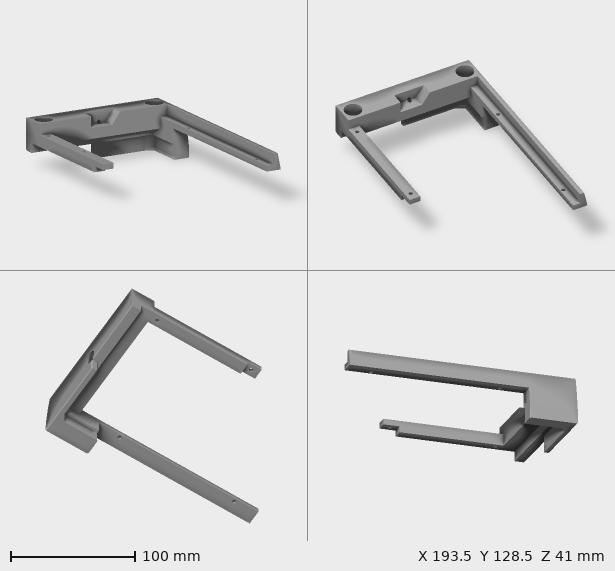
import cadquery as cq
import math

length = 193.5
width = 128.5
height = 41.0

bar_depth = 21.7
bar_floor = -19.2
front_wall = 8.9
front_wall_bottom = -27.3

cheek_length = 40.8
cheek_recess_y = 115.0
skirt_start_y = 59.4
skirt_wall = 4.8
skirt_gusset = 2.5
gusset_run = 7.7
lip_height = 2.1
lip_overhang = 0.8
lip_gusset = 4.3
edge_chamfer = 1.0

flank_top_y = 122.0
flank_mid_y = 126.1
cheek_end_chamfer = 1.2

arm_top = -9.3
arm_bottom = -14.1
front_arm_length = 124.2
front_arm_width = 9.9
thick_arm_length = 110.5
rear_arm_inner_y = 112.0
rear_rail_inner_y = 118.2

pocket_diameter = 15.0
pocket_depth = 15.5
pocket_x = 11.5
pocket_ys = (9.7, 112.2)
arm_hole_diameter = 3.5
front_arm_holes = ((27.5, 4.8), (117.2, 4.8))
rear_arm_holes = ((62.3, 114.7), (172.0, 114.7))

notch_x = 11.2
notch_y = 47.5
notch_floor_width = 19.7
notch_slope_width = 7.4
notch_depth = 10.0

screw_y = 61.1
screw_z = -21.5
screw_angle = 45
counterbore_diameter = 10.0
counterbore_depth = 7.0
screw_diameter = 4.3
screw_reach = 23.2


def box(x0, x1, y0, y1, z0, z1):
    """Box between two opposite corners."""
    return cq.Workplane("XY").box(x1 - x0, y1 - y0, z1 - z0, centered=False).translate((x0, y0, z0))


def make_crossbar():
    bar = box(0, bar_depth, 0, width, bar_floor, 0)
    wall = box(0, front_wall, 0, width, front_wall_bottom, bar_floor)
    skirt = box(0, skirt_wall, skirt_start_y, width, -height, front_wall_bottom)
    return bar.union(wall).union(skirt)


def make_gusset(leg, z0, z1):
    """Triangular filler in the corner between the skirt and the recessed cheek."""
    return (
        cq.Workplane("XY")
        .workplane(offset=z0)
        .moveTo(skirt_wall, cheek_recess_y)
        .lineTo(skirt_wall + leg, cheek_recess_y)
        .lineTo(skirt_wall, cheek_recess_y - gusset_run)
        .close()
        .extrude(z1 - z0)
    )


def make_cheek():
    """Rear cheek: full thickness above, recessed below with a sloped lip along the bottom."""
    lip_top = lip_height - height
    cheek = (
        cq.Workplane("YZ")
        .moveTo(width, arm_top)
        .lineTo(rear_arm_inner_y, arm_top)
        .lineTo(rear_arm_inner_y, front_wall_bottom)
        .lineTo(cheek_recess_y, front_wall_bottom)
        .lineTo(cheek_recess_y, lip_top)
        .lineTo(cheek_recess_y - lip_overhang, -height)
        .lineTo(width, -height)
        .close()
        .extrude(cheek_length)
    )
    rear_band = box(0, cheek_length, rear_rail_inner_y, width, arm_top, 0)
    return (
        cheek.union(rear_band)
        .edges("|Z and >X and >Y")
        .chamfer(cheek_end_chamfer)
        .union(make_gusset(skirt_gusset, lip_top, front_wall_bottom))
        .union(make_gusset(lip_gusset, -height, lip_top))
    )


def make_arms():
    front_arm = box(0, front_arm_length, 0, front_arm_width, arm_bottom, arm_top)
    front_rib = box(0, thick_arm_length, 0, front_arm_width, bar_floor, arm_top)
    rear_floor = box(0, length, rear_arm_inner_y, width, arm_bottom, arm_top)
    rear_rail = box(0, length, rear_rail_inner_y, width, arm_bottom, 0)
    return front_arm.union(front_rib).union(rear_floor).union(rear_rail)


def make_flank_envelope():
    """Volume in front of the curved rear flank, along the whole part."""
    return (
        cq.Workplane("YZ")
        .moveTo(0, 0)
        .lineTo(flank_top_y, 0)
        .threePointArc((flank_mid_y, -height / 2), (width, -height))
        .lineTo(0, -height)
        .close()
        .extrude(length)
    )


def chamfer_cutter(y0, y1, z):
    """Wedge that bevels the bottom front edge of a wall ending at height z."""
    return (
        cq.Workplane("XZ")
        .moveTo(0, z)
        .lineTo(edge_chamfer, z)
        .lineTo(0, z + edge_chamfer)
        .close()
        .extrude(y0 - y1)
        .translate((0, y0, 0))
    )


def make_skirt_end_cutter():
    """Wedge that bevels the upright front edge of the skirt."""
    return (
        cq.Workplane("XY")
        .workplane(offset=-height)
        .moveTo(0, skirt_start_y)
        .lineTo(edge_chamfer, skirt_start_y)
        .lineTo(0, skirt_start_y + edge_chamfer)
        .close()
        .extrude(height + front_wall_bottom)
    )


def make_notch():
    floor_end_y = notch_y + notch_floor_width
    return (
        cq.Workplane("YZ")
        .workplane(offset=notch_x)
        .moveTo(notch_y, 0)
        .lineTo(notch_y, -notch_depth)
        .lineTo(floor_end_y, -notch_depth)
        .lineTo(floor_end_y + notch_slope_width, 0)
        .close()
        .extrude(bar_depth - notch_x)
    )


def make_screw_hole():
    angle = math.radians(screw_angle)
    axis = cq.Vector(math.cos(angle), 0, math.sin(angle))
    mouth = cq.Vector(0, screw_y, screw_z)
    outside = mouth - axis * counterbore_diameter
    counterbore_length = counterbore_diameter + counterbore_depth
    counterbore = cq.Solid.makeCylinder(counterbore_diameter / 2, counterbore_length, outside, axis)
    shank = cq.Solid.makeCylinder(screw_diameter / 2, screw_reach, mouth, axis)
    return cq.Workplane(counterbore.fuse(shank))


def make_vertical_holes():
    pockets = (
        cq.Workplane("XY")
        .pushPoints([(pocket_x, y) for y in pocket_ys])
        .circle(pocket_diameter / 2)
        .extrude(-pocket_depth)
    )
    arm_holes = (
        cq.Workplane("XY")
        .pushPoints(front_arm_holes + rear_arm_holes)
        .circle(arm_hole_diameter / 2)
        .extrude(-height)
    )
    return pockets.union(arm_holes)


result = (
    make_crossbar()
    .union(make_cheek())
    .union(make_arms())
    .intersect(make_flank_envelope())
    .cut(chamfer_cutter(0, skirt_start_y, front_wall_bottom))
    .cut(chamfer_cutter(skirt_start_y, width, -height))
    .cut(make_skirt_end_cutter())
    .cut(make_notch())
    .cut(make_screw_hole())
    .cut(make_vertical_holes())
)